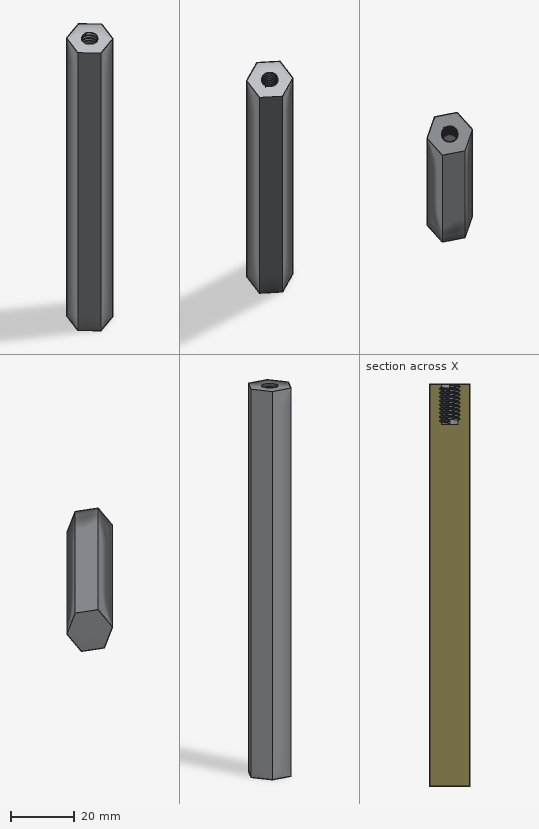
import cadquery as cq
import math

length = 127.17
across_flats = 12.7
across_corners = across_flats / math.cos(math.pi / 6)

thread_diameter = 6.35
thread_pitch = 1.27
hole_diameter = 5.1
hole_depth = 12.7
hole_radius = hole_diameter / 2
thread_radius = thread_diameter / 2

groove_mouth = 0.75 * thread_pitch
groove_root = thread_pitch / 8
groove_end_angle = 180
thread_turns = math.floor((hole_depth - groove_mouth) / thread_pitch)
wall_overlap = 0.1


def hex_body():
    return cq.Workplane("XY").polygon(6, across_corners).extrude(length)


def tapped_bore():
    return cq.Workplane("XY").workplane(offset=length).circle(hole_radius).extrude(-hole_depth)


def groove_profile():
    flank_slope = (groove_mouth - groove_root) / (thread_radius - hole_radius)
    inner_radius = hole_radius - wall_overlap
    inner_width = groove_mouth + flank_slope * wall_overlap
    return (
        cq.Workplane("XZ")
        .moveTo(inner_radius, -inner_width / 2)
        .lineTo(thread_radius, -groove_root / 2)
        .lineTo(thread_radius, groove_root / 2)
        .lineTo(inner_radius, inner_width / 2)
        .close()
    )


def thread_groove():
    helix_height = thread_turns * thread_pitch
    helix = cq.Workplane(obj=cq.Wire.makeHelix(thread_pitch, helix_height, hole_radius))
    groove = groove_profile().sweep(helix, isFrenet=True)
    helix_start = length - groove_mouth / 2 - helix_height
    return groove.rotate((0, 0, 0), (0, 0, 1), groove_end_angle).translate((0, 0, helix_start))


result = hex_body().cut(tapped_bore()).cut(thread_groove())